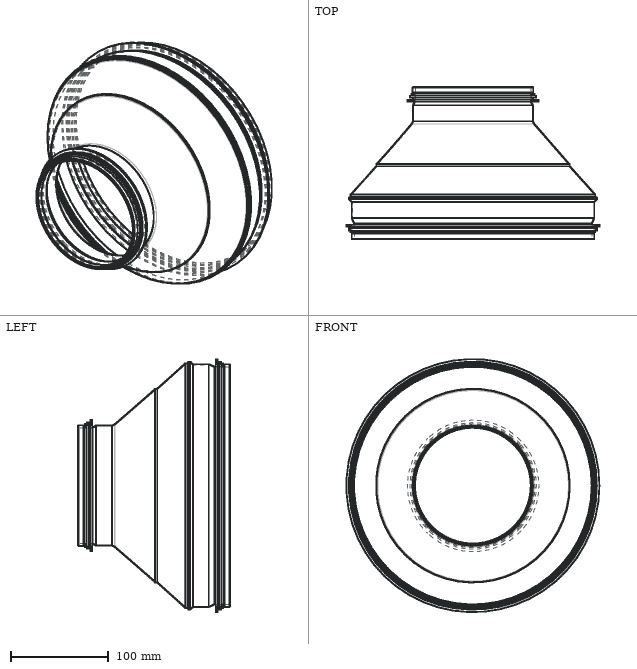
import cadquery as cq
import math


LENGTH = 156.0
SHEET = 0.5

LARGE_R = 249 / 2
LARGE_GROOVE_R = 244.0 / 2
LARGE_RAMP_START = 21.8
LARGE_RAMP_END = 16.3
SMALL_RIM_R = 124.0 / 2
SMALL_R = 123.2 / 2
SMALL_GROOVE_R = 119.3 / 2
SMALL_RAMP_START = 18.7
SMALL_RAMP_END = 15.0
RIM_WIDTH = 6.5
RIM_CHAMFER = 0.8
RIM_RAMP = 0.8

NECK_END = LENGTH - 35.0
CONE_TOP = LENGTH - 37.5
CONE_TOP_R = 62.8
COLLAR_R = 198.5 / 2
COLLAR_STEP = 1.3
COLLAR_TOP = 78.0
COLLAR_SHOULDER = 77.3
COLLAR_BOTTOM = 75.0
CONE_BOTTOM = 47.0

BEAD_R = 127.0
BEAD_SHOULDER_R = 125.5
BEAD_SHOULDER_TOP = 46.2
BEAD_SHOULDER_BOTTOM = 43.8
BEAD_TOP = 42.8
BEAD_BOTTOM = 41.0
BEAD_FOOT = 38.0

SEAL_END = 7.3
LIP_START = 9.0
LIP_END = 11.1
FLANGE_START = 13.0
FLANGE_END = 15.0
LARGE_SEAL_R = 248.0 / 2
LARGE_TAIL_R = 125.5
LARGE_LIP_R = 127.0
LARGE_FLANGE_R = 129.6
SMALL_SEAL_R = 123.2 / 2
SMALL_TAIL_R = 63.3
SMALL_LIP_R = 129.5 / 2
SMALL_FLANGE_R = 134.5 / 2


def revolve_profile(points):
    """Turn a closed (radius, distance) outline about the Y axis."""
    outline = cq.Workplane("XY").polyline(points).close()
    return outline.revolve(360, (0, 0, 0), (0, 1, 0))


def inner_outline(outer, thickness):
    """Offset an open outline inward by the sheet thickness, with mitred corners."""
    normals = []
    for (r0, y0), (r1, y1) in zip(outer, outer[1:]):
        length = math.hypot(r1 - r0, y1 - y0)
        normals.append(((y0 - y1) / length, (r1 - r0) / length))
    inner = []
    for i, (r, y) in enumerate(outer):
        before = normals[max(i - 1, 0)]
        after = normals[min(i, len(normals) - 1)]
        mitre = thickness / (1 + before[0] * after[0] + before[1] * after[1])
        inner.append((r + mitre * (before[0] + after[0]), y + mitre * (before[1] + after[1])))
    return inner


def make_shell():
    """Thin wall running from the solid large rim to the solid small rim."""
    large_rim = [
        (LARGE_GROOVE_R - SHEET + RIM_CHAMFER, 0),
        (LARGE_R - RIM_CHAMFER, 0),
        (LARGE_R, RIM_CHAMFER),
        (LARGE_R, RIM_WIDTH - RIM_RAMP),
        (LARGE_GROOVE_R, RIM_WIDTH),
    ]
    large_spigot = [
        (LARGE_GROOVE_R, LARGE_RAMP_END),
        (LARGE_R, LARGE_RAMP_START),
    ]
    bead = [
        (LARGE_R, BEAD_FOOT),
        (BEAD_R, BEAD_BOTTOM),
        (BEAD_R, BEAD_TOP),
        (BEAD_SHOULDER_R, BEAD_SHOULDER_BOTTOM),
        (BEAD_SHOULDER_R, BEAD_SHOULDER_TOP),
    ]
    cone = [
        (LARGE_R, CONE_BOTTOM),
        (COLLAR_R, COLLAR_BOTTOM),
        (COLLAR_R, COLLAR_SHOULDER),
        (COLLAR_R - COLLAR_STEP, COLLAR_TOP),
        (CONE_TOP_R, CONE_TOP),
    ]
    small_spigot = [
        (SMALL_R, NECK_END),
        (SMALL_R, LENGTH - SMALL_RAMP_START),
        (SMALL_GROOVE_R, LENGTH - SMALL_RAMP_END),
    ]
    small_rim = [
        (SMALL_GROOVE_R, LENGTH - RIM_WIDTH),
        (SMALL_RIM_R, LENGTH - RIM_WIDTH + RIM_RAMP),
        (SMALL_RIM_R, LENGTH - RIM_CHAMFER),
        (SMALL_RIM_R - RIM_CHAMFER, LENGTH),
        (SMALL_GROOVE_R - SHEET + RIM_CHAMFER, LENGTH),
    ]
    wall = large_spigot + bead + cone + small_spigot
    large_mouth = [(LARGE_GROOVE_R, RIM_CHAMFER)]
    small_mouth = [(SMALL_GROOVE_R, LENGTH - RIM_CHAMFER)]
    bore = inner_outline(large_mouth + wall + small_mouth, SHEET)
    return revolve_profile(large_rim + wall + small_rim + bore[::-1])


def make_seal(groove_r, band_r, tail_r, lip_r, flange_r, open_end, direction):
    """Seal ring seated in a groove: a band with a tail, a short lip and a wide flange."""
    steps = [
        (groove_r, SEAL_END),
        (tail_r, SEAL_END),
        (tail_r, LIP_START),
        (lip_r, LIP_START),
        (lip_r, LIP_END),
        (band_r, LIP_END),
        (band_r, FLANGE_START),
        (flange_r, FLANGE_START),
        (flange_r, FLANGE_END),
        (groove_r, FLANGE_END),
    ]
    return revolve_profile([(r, open_end + direction * d) for r, d in steps])


shell = make_shell()
large_seal = make_seal(
    LARGE_GROOVE_R, LARGE_SEAL_R, LARGE_TAIL_R, LARGE_LIP_R, LARGE_FLANGE_R, 0, 1
)
small_seal = make_seal(
    SMALL_GROOVE_R, SMALL_SEAL_R, SMALL_TAIL_R, SMALL_LIP_R, SMALL_FLANGE_R, LENGTH, -1
)

result = cq.Compound.makeCompound([shell.val(), large_seal.val(), small_seal.val()])